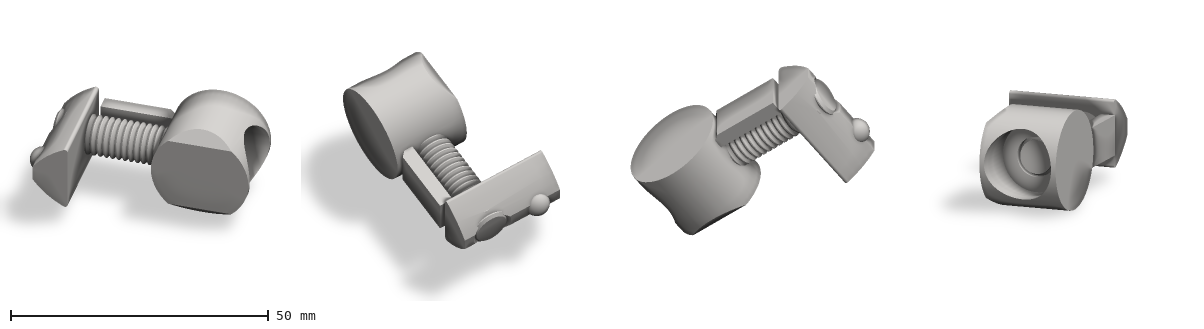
import cadquery as cq
import math


barrel_diameter = 19.7
barrel_radius = barrel_diameter / 2
barrel_height = 15.9
barrel_flat_half_width = 7.5
head_bore_radius = 7.0
head_bore_floor_x = 0.0

bar_start_x = -23.5
bar_end_x = -8.2
bar_inner_y = 4.05
bar_outer_y = 6.95
bar_height = 8.0
bar_bevel = 1.85

thread_diameter = 8.0
thread_radius = thread_diameter / 2
thread_root_radius = 3.37
thread_pitch = 1.25
thread_crest_width = 0.2
screw_start_x = -31.15

nut_front_x = -31.55
nut_back_x = -24.5
nut_top_y = 6.4
nut_length = 21.93
nut_half_height = 7.1
nut_nose_half_height = 1.5
nut_flank_bulge = 0.6
nut_corner_radius = 0.55
countersink_radius = 4.3
countersink_depth = countersink_radius - thread_root_radius

overall_length = 43.25
ball_radius = 2.55
ball_y = -10.6
ball_x = barrel_radius - overall_length + ball_radius


def x_cylinder(radius, start_x, end_x):
    """Cylinder about the screw axis between two X positions."""
    return cq.Workplane("YZ", origin=(start_x, 0, 0)).circle(radius).extrude(end_x - start_x)


def make_ball():
    return cq.Workplane("XY").sphere(ball_radius).translate((ball_x, ball_y, 0))


def make_bar():
    return (
        cq.Workplane("XY", origin=(0, 0, -bar_height / 2))
        .moveTo(bar_start_x, bar_inner_y)
        .lineTo(bar_end_x, bar_inner_y)
        .lineTo(bar_end_x, bar_outer_y - bar_bevel)
        .lineTo(bar_end_x - bar_bevel, bar_outer_y)
        .lineTo(bar_start_x, bar_outer_y)
        .close()
        .extrude(bar_height)
    )


def make_barrel():
    half = barrel_height / 2
    bevel = barrel_radius - barrel_flat_half_width
    body = cq.Workplane("XZ", origin=(0, half, 0)).circle(barrel_radius).extrude(barrel_height)
    for side in (1, -1):
        corner = (
            cq.Workplane("YZ", origin=(-barrel_radius, 0, 0))
            .moveTo(-half, side * barrel_flat_half_width)
            .lineTo(-half, side * barrel_radius)
            .lineTo(-half + bevel, side * barrel_radius)
            .close()
            .extrude(2 * barrel_radius)
        )
        body = body.cut(corner)
    body = body.union(make_bar())
    screw_hole = x_cylinder(thread_radius, -barrel_radius, barrel_radius)
    head_bore = x_cylinder(head_bore_radius, head_bore_floor_x, barrel_radius)
    return body.cut(screw_hole).cut(head_bore)


def make_screw():
    """Screw with ring-shaped thread ridges, from the bevelled tip to the head bore floor."""
    ridge_count = int((head_bore_floor_x - screw_start_x) / thread_pitch)
    crest_offset = (thread_pitch - thread_crest_width) / 2
    profile = (
        cq.Workplane("XY")
        .moveTo(screw_start_x, 0)
        .lineTo(screw_start_x, thread_root_radius)
    )
    for ridge in range(ridge_count):
        ridge_x = screw_start_x + ridge * thread_pitch
        profile = (
            profile.lineTo(ridge_x + crest_offset, thread_radius)
            .lineTo(ridge_x + crest_offset + thread_crest_width, thread_radius)
            .lineTo(ridge_x + thread_pitch, thread_root_radius)
        )
    return (
        profile.lineTo(head_bore_floor_x, thread_root_radius)
        .lineTo(head_bore_floor_x, 0)
        .close()
        .revolve(360, (0, 0, 0), (1, 0, 0))
    )


def make_nut():
    """Slot nut with bulging flanks, threaded to match the screw and recessed for the ball."""
    depth = nut_back_x - nut_front_x
    rise = nut_half_height - nut_nose_half_height
    flank_length = math.hypot(depth, rise)
    flank_mid_x = (nut_front_x + nut_back_x) / 2 - nut_flank_bulge * rise / flank_length
    flank_mid_z = (nut_half_height + nut_nose_half_height) / 2 + nut_flank_bulge * depth / flank_length
    body = (
        cq.Workplane("XZ", origin=(0, nut_top_y, 0))
        .moveTo(nut_front_x, -nut_nose_half_height)
        .lineTo(nut_front_x, nut_nose_half_height)
        .threePointArc((flank_mid_x, flank_mid_z), (nut_back_x, nut_half_height))
        .lineTo(nut_back_x, -nut_half_height)
        .threePointArc((flank_mid_x, -flank_mid_z), (nut_front_x, -nut_nose_half_height))
        .close()
        .extrude(nut_length)
        .edges("|Y and >X")
        .fillet(nut_corner_radius)
    )
    countersink = (
        cq.Workplane("XY")
        .moveTo(nut_front_x, 0)
        .lineTo(nut_front_x, countersink_radius)
        .lineTo(nut_front_x + countersink_depth, thread_root_radius)
        .lineTo(nut_front_x + countersink_depth, 0)
        .close()
        .revolve(360, (0, 0, 0), (1, 0, 0))
    )
    return body.cut(countersink).cut(make_screw()).cut(make_ball())


barrel = make_barrel()
screw = make_screw()
nut = make_nut()
ball = make_ball()

result = cq.Compound.makeCompound([barrel.val(), screw.val(), nut.val(), ball.val()])